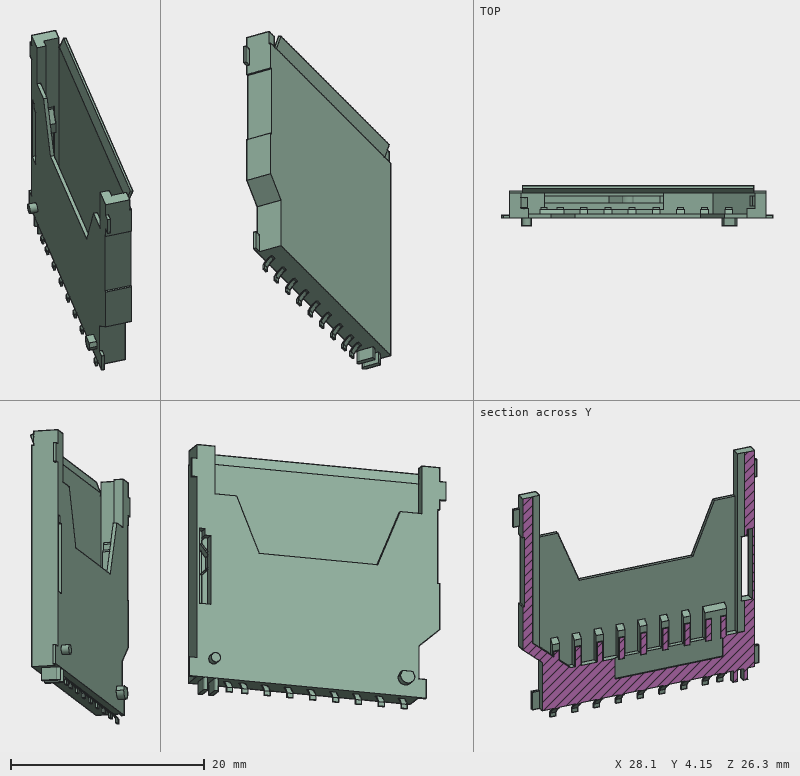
import cadquery as cq


BODY_LEFT = 0.8
BODY_RIGHT = 27.35
BODY_HEIGHT = 24.95
BODY_DEPTH = 2.8
CORNER_X = 25.08
CORNER_LOW_Z = 5.55
CORNER_HIGH_Z = 7.52
SIDE_RELIEF = 0.2
SIDE_RELIEF_Z = (12.48, 20.42)

TAB_THICKNESS = 0.3
FOOT_LEFT = 0
FOOT_RIGHT = 25.9
FOOT_HEIGHT = 2.02
EAR_LEFT = 0.22
EAR_RIGHT = 28.05
EAR_Z = (21.5, 23.45)

FRONT_WALL = 0.4
COVER_THICKNESS = 0.2
COVER_INNER_Y = BODY_DEPTH - COVER_THICKNESS
COVER_TOP_Z = 23.45
RAIL_DEPTH = 0.98
CARD_LEFT = 2.0
CARD_RIGHT = 26.17
RAIL_LEFT = 2.78
RAIL_RIGHT = 25.39
CAVITY_FLOOR_Z = 4.35
CAVITY_CORNER_X = 21.88
CORNER_SLOPE = (CORNER_HIGH_Z - CORNER_LOW_Z) / (BODY_RIGHT - CORNER_X)

NOTCH_SHOULDER_Z = 19.8
NOTCH_BOTTOM_Z = 13.85
NOTCH_SHOULDER_WIDTH = 2.35
NOTCH_SLOPE_WIDTH = 2.47

FLAP_LEFT = 2.15
FLAP_RIGHT = 26.1
FLAP_FOLD_Z = 23.75
FLAP_TIP_Y = 3.35
FLAP_TIP_INNER_Y = 3.05
FLAP_TIP_DROP = 0.1

SLOT_LEFT = 1.1
SLOT_RIGHT = 2.3
SLOT_NARROW_RIGHT = 1.68
SLOT_BOTTOM_Z = 7.88
SLOT_STEP_Z = 15.25
SLOT_TOP_Z = 15.95
SLOT_DEPTH = 2.1
SPRING_THICKNESS = 0.22
SPRING_FRONT_Y = 1.07
SPRING_REACH = 0.98
SPRING_BENDS_Z = (11.22, 12.2, 13.45, 14.67)

DETENT_Y = (1.25, 2.27)
DETENT_REACH = 0.5
DETENT_SHOULDER_REACH = 0.25
DETENT_SHOULDER_HEIGHT = 0.85
DETENT_Z = (14.02, 18.5)

POCKET_X = (4.45, 16.75)
POCKET_FRONT_Y = 0.9
POCKET_FLOOR_Z = 1.95
CAM_Y = (1.57, 2.27)
CAM_BASE_Z = 2.52
CAM_PEAK_Z = 3.65
CAM_CREST_RISE = 0.2
CAM_RISE_START_X = 11.08
CAM_RISE_END_X = 12.48
CAM_CREST_X = 13.05
CAM_FALL_START_X = 13.58
CAM_END_X = 16.35

LAST_CONTACT_X = 23.48
CONTACT_PITCH = 2.5
REGULAR_CONTACTS = 7
EXTRA_CONTACTS_X = [6.05, 4.38]
REGULAR_CONTACTS_X = [LAST_CONTACT_X - i * CONTACT_PITCH for i in range(REGULAR_CONTACTS)]
LEAD_WIDTH = 0.65
LEAD_LENGTH = 1.32
LEAD_THICKNESS = 0.2
LEAD_TOE = 0.45
LEAD_EXIT_Y = 0.9
LEAD_BULGE = 0.1
RAMP_WIDTH = 0.8
RAMP_TOP_Z = 7.85
RAMP_END_Y = LEAD_EXIT_Y
RAMP_END_Z = RAMP_TOP_Z - (RAMP_END_Y - FRONT_WALL)
CONTACT_TIP_Z = 6.6
CONTACT_ROOT_Z = 4.07

SWITCH_PINS_X = [1.82, 3.0]
SWITCH_PIN_WIDTH = 0.48
SWITCH_PIN_NOSE = 0.36
SWITCH_PIN_DEPTH = 2.0

PEG_LENGTH = 0.8
PEG_Z = 2.0
ROUND_PEG_X = 2.58
ROUND_PEG_RADIUS = 0.5
FLAT_PEG_X = 23.55
FLAT_PEG_RADIUS = 0.79
FLAT_PEG_HALF_FLAT = 0.55
FLAT_PEG_RISE = 0.5


def block(x_range, y_range, z_range):
    """Axis-aligned box between the given limits."""
    size = [high - low for low, high in (x_range, y_range, z_range)]
    corner = (x_range[0], y_range[0], z_range[0])
    return cq.Workplane("XY").box(*size, centered=False).translate(corner)


def plate(points, y_start, y_end):
    """Extrude an (x, z) outline from y_start to y_end."""
    outline = cq.Workplane("XZ", origin=(0, y_start, 0)).polyline(points).close()
    return outline.extrude(y_start - y_end)


def strip(points, x_start, x_end):
    """Extrude a (y, z) profile from x_start to x_end."""
    profile = cq.Workplane("YZ", origin=(x_start, 0, 0)).polyline(points).close()
    return profile.extrude(x_end - x_start)


def make_body():
    relief_x = BODY_RIGHT - SIDE_RELIEF
    body = plate(
        [
            (BODY_LEFT, 0),
            (CORNER_X, 0),
            (CORNER_X, CORNER_LOW_Z),
            (BODY_RIGHT, CORNER_HIGH_Z),
            (BODY_RIGHT, SIDE_RELIEF_Z[0]),
            (relief_x, SIDE_RELIEF_Z[0]),
            (relief_x, SIDE_RELIEF_Z[1]),
            (BODY_RIGHT, SIDE_RELIEF_Z[1]),
            (BODY_RIGHT, BODY_HEIGHT),
            (BODY_LEFT, BODY_HEIGHT),
        ],
        0,
        BODY_DEPTH,
    )
    cover_step = block((BODY_LEFT, BODY_RIGHT), (COVER_INNER_Y, BODY_DEPTH), (COVER_TOP_Z, BODY_HEIGHT))
    return body.cut(cover_step)


def make_tabs():
    thickness = (0, TAB_THICKNESS)
    foot = block((FOOT_LEFT, FOOT_RIGHT), thickness, (0, FOOT_HEIGHT))
    left_ear = block((EAR_LEFT, BODY_LEFT), thickness, EAR_Z)
    right_ear = block((BODY_RIGHT, EAR_RIGHT), thickness, EAR_Z)
    return foot.union(left_ear).union(right_ear)


def cavity_prism(left, right, y_start, y_end):
    """Cavity with the keyed lower-right corner, open at the card mouth."""
    corner_z = CAVITY_FLOOR_Z + (right - CAVITY_CORNER_X) * CORNER_SLOPE
    outline = [
        (left, CAVITY_FLOOR_Z),
        (CAVITY_CORNER_X, CAVITY_FLOOR_Z),
        (right, corner_z),
        (right, BODY_HEIGHT),
        (left, BODY_HEIGHT),
    ]
    return plate(outline, y_start, y_end)


def make_cavity():
    card_space = cavity_prism(CARD_LEFT, CARD_RIGHT, RAIL_DEPTH, COVER_INNER_Y)
    between_rails = cavity_prism(RAIL_LEFT, RAIL_RIGHT, FRONT_WALL, RAIL_DEPTH)
    return card_space.union(between_rails)


def make_notch():
    shoulder_left = RAIL_LEFT + NOTCH_SHOULDER_WIDTH
    shoulder_right = RAIL_RIGHT - NOTCH_SHOULDER_WIDTH
    outline = [
        (RAIL_LEFT, BODY_HEIGHT),
        (RAIL_LEFT, NOTCH_SHOULDER_Z),
        (shoulder_left, NOTCH_SHOULDER_Z),
        (shoulder_left + NOTCH_SLOPE_WIDTH, NOTCH_BOTTOM_Z),
        (shoulder_right - NOTCH_SLOPE_WIDTH, NOTCH_BOTTOM_Z),
        (shoulder_right, NOTCH_SHOULDER_Z),
        (RAIL_RIGHT, NOTCH_SHOULDER_Z),
        (RAIL_RIGHT, BODY_HEIGHT),
    ]
    return plate(outline, 0, FRONT_WALL)


def make_flap():
    profile = [
        (COVER_INNER_Y, COVER_TOP_Z),
        (BODY_DEPTH, COVER_TOP_Z),
        (FLAP_TIP_Y, BODY_HEIGHT - FLAP_TIP_DROP),
        (FLAP_TIP_INNER_Y, BODY_HEIGHT),
        (COVER_INNER_Y, FLAP_FOLD_Z),
    ]
    return strip(profile, FLAP_LEFT, FLAP_RIGHT)


def make_side_slot():
    wide = block((SLOT_LEFT, SLOT_RIGHT), (0, SLOT_DEPTH), (SLOT_BOTTOM_Z, SLOT_STEP_Z))
    narrow = block((SLOT_LEFT, SLOT_NARROW_RIGHT), (0, SLOT_DEPTH), (SLOT_STEP_Z, SLOT_TOP_Z))
    return wide.union(narrow)


def make_side_spring():
    rest_x = SLOT_NARROW_RIGHT
    crest_x = rest_x + SPRING_REACH
    lower_bend, lower_crest, upper_crest, upper_bend = SPRING_BENDS_Z
    card_side = [
        (rest_x, SLOT_BOTTOM_Z),
        (rest_x, lower_bend),
        (crest_x, lower_crest),
        (crest_x, upper_crest),
        (rest_x, upper_bend),
        (rest_x, SLOT_TOP_Z),
    ]
    wall_side = [(x - SPRING_THICKNESS, z) for x, z in reversed(card_side)]
    return plate(card_side + wall_side, SPRING_FRONT_Y, SLOT_DEPTH)


def make_detent():
    crest_x = CARD_RIGHT - DETENT_REACH
    shoulder_x = CARD_RIGHT - DETENT_SHOULDER_REACH
    low_z, high_z = DETENT_Z
    shoulder_z = high_z - DETENT_SHOULDER_HEIGHT
    outline = [
        (CARD_RIGHT, low_z),
        (crest_x, low_z + DETENT_REACH),
        (crest_x, shoulder_z - DETENT_SHOULDER_REACH),
        (shoulder_x, shoulder_z),
        (shoulder_x, high_z - DETENT_SHOULDER_REACH),
        (CARD_RIGHT, high_z),
    ]
    return plate(outline, *DETENT_Y)


def make_floor_pocket():
    return block(POCKET_X, (POCKET_FRONT_Y, COVER_INNER_Y), (POCKET_FLOOR_Z, CAVITY_FLOOR_Z))


def make_cam():
    left, right = POCKET_X
    slope_top_z = CAM_PEAK_Z - CAM_CREST_RISE
    outline = (
        cq.Workplane("XZ", origin=(0, CAM_Y[0], 0))
        .moveTo(left, POCKET_FLOOR_Z)
        .lineTo(left, CAM_BASE_Z)
        .lineTo(CAM_RISE_START_X, CAM_BASE_Z)
        .lineTo(CAM_RISE_END_X, slope_top_z)
        .threePointArc((CAM_CREST_X, CAM_PEAK_Z), (CAM_FALL_START_X, slope_top_z))
        .lineTo(CAM_END_X, CAM_BASE_Z)
        .lineTo(right, CAM_BASE_Z)
        .lineTo(right, POCKET_FLOOR_Z)
        .close()
    )
    return outline.extrude(CAM_Y[0] - CAM_Y[1])


def make_ramp(x_start, x_end):
    """Contact bar on the front wall with its top edge sloped toward the card."""
    profile = [
        (FRONT_WALL, CONTACT_ROOT_Z),
        (RAMP_END_Y, CONTACT_ROOT_Z),
        (RAMP_END_Y, RAMP_END_Z),
        (FRONT_WALL, RAMP_TOP_Z),
    ]
    return strip(profile, x_start, x_end)


def make_contact(x):
    """Ramp inside the cavity with a narrower tip strip on its card side."""
    ramp = make_ramp(x - RAMP_WIDTH / 2, x + RAMP_WIDTH / 2)
    tip = block(
        (x - LEAD_WIDTH / 2, x + LEAD_WIDTH / 2),
        (RAMP_END_Y, RAMP_END_Y + LEAD_THICKNESS),
        (CONTACT_ROOT_Z, CONTACT_TIP_Z),
    )
    return ramp.union(tip)


def make_lead(x):
    """Gull-wing lead below the body with its toe flush with the mounting face."""
    toe_top_z = LEAD_TOE - LEAD_LENGTH
    bend_y = LEAD_EXIT_Y / 2 - LEAD_BULGE
    bend_z = toe_top_z / 2
    profile = (
        cq.Workplane("YZ", origin=(x - LEAD_WIDTH / 2, 0, 0))
        .moveTo(0, -LEAD_LENGTH)
        .lineTo(0, toe_top_z)
        .threePointArc((bend_y, bend_z), (LEAD_EXIT_Y, 0))
        .lineTo(LEAD_EXIT_Y + LEAD_THICKNESS, 0)
        .threePointArc((bend_y + LEAD_THICKNESS, bend_z), (LEAD_THICKNESS, toe_top_z))
        .lineTo(LEAD_THICKNESS, -LEAD_LENGTH)
        .close()
    )
    return profile.extrude(LEAD_WIDTH)


def make_switch_pin(x):
    """Flat-sided pin with an elliptical front edge."""
    half_width = SWITCH_PIN_WIDTH / 2
    shank = block((x - half_width, x + half_width), (SWITCH_PIN_NOSE, SWITCH_PIN_DEPTH), (-LEAD_LENGTH, 0))
    nose_base = cq.Workplane("XY", origin=(x, SWITCH_PIN_NOSE, -LEAD_LENGTH))
    nose = nose_base.ellipse(half_width, SWITCH_PIN_NOSE).extrude(LEAD_LENGTH)
    return shank.union(nose)


def make_round_peg():
    return cq.Workplane("XZ", origin=(ROUND_PEG_X, 0, PEG_Z)).circle(ROUND_PEG_RADIUS).extrude(PEG_LENGTH)


def make_flat_peg():
    """Half-round peg tapering to a flat on its upper side."""
    outline = (
        cq.Workplane("XZ", origin=(FLAT_PEG_X, 0, PEG_Z))
        .moveTo(-FLAT_PEG_RADIUS, 0)
        .threePointArc((0, -FLAT_PEG_RADIUS), (FLAT_PEG_RADIUS, 0))
        .lineTo(FLAT_PEG_HALF_FLAT, FLAT_PEG_RISE)
        .lineTo(-FLAT_PEG_HALF_FLAT, FLAT_PEG_RISE)
        .close()
    )
    return outline.extrude(PEG_LENGTH)


result = make_body().union(make_tabs())
result = result.cut(make_cavity()).cut(make_notch()).cut(make_side_slot()).cut(make_floor_pocket())
result = result.union(make_flap()).union(make_side_spring()).union(make_detent()).union(make_cam())
for contact_x in REGULAR_CONTACTS_X + EXTRA_CONTACTS_X:
    result = result.union(make_contact(contact_x)).union(make_lead(contact_x))
result = result.union(make_ramp(min(EXTRA_CONTACTS_X), max(EXTRA_CONTACTS_X)))
for pin_x in SWITCH_PINS_X:
    result = result.union(make_switch_pin(pin_x))
result = result.union(make_round_peg()).union(make_flat_peg())